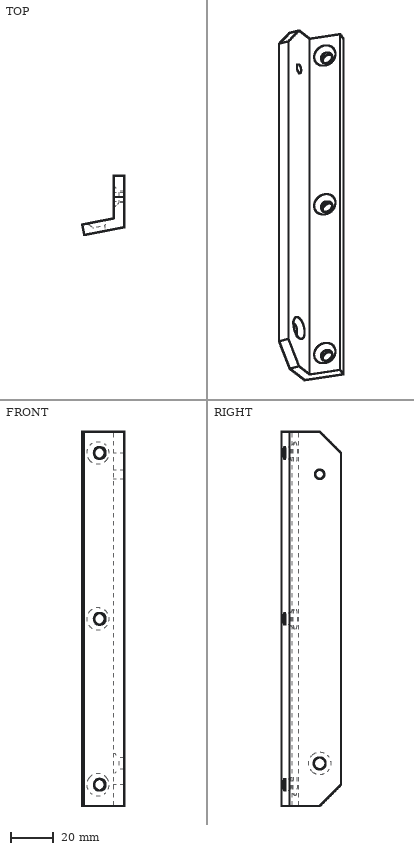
import cadquery as cq
import math

length = 175.0
width = 19.8
depth = 27.8

thickness = 5.0
tilt_degrees = 11.0
tilt = math.radians(tilt_degrees)

corner_chamfer = 10.0
upright_hole_from_edge = 10.0
upright_hole_from_end = 20.0
upper_hole_diameter = 4.2

screw_diameter = 5.5
countersink_diameter = 10.5
countersink_angle = 90.0
drill_depth = 2 * thickness

leg_hole_from_edge = 7.5
leg_hole_from_end = 10.0

leg_length = (width - thickness * math.sin(tilt)) / math.cos(tilt)
upright_length = depth - leg_length * math.sin(tilt)


def leg_point(along, inward):
    """XY point on the tilted leg, measured from the outer corner of the bend."""
    x = -along * math.cos(tilt) - inward * math.sin(tilt)
    y = -along * math.sin(tilt) + inward * math.cos(tilt)
    return x, y


def countersunk_hole(solid, plane):
    """Drill a countersunk through hole at the origin of a plane lying on the leg's inner face."""
    workplane = solid.copyWorkplane(cq.Workplane(plane)).pushPoints([(0, 0)])
    return workplane.cskHole(screw_diameter, countersink_diameter, countersink_angle, depth=drill_depth)


inner_corner_y = thickness / math.cos(tilt) - thickness * math.tan(tilt)
body = (
    cq.Workplane("XY")
    .polyline([
        (0, 0),
        (0, upright_length),
        (-thickness, upright_length),
        (-thickness, inner_corner_y),
        leg_point(leg_length, thickness),
        leg_point(leg_length, 0),
    ])
    .close()
    .extrude(length)
)

body = body.faces(">Y").edges("|X").chamfer(corner_chamfer)

upright_hole_y = upright_length - upright_hole_from_edge


def upright_plane(z):
    return cq.Plane((-thickness, upright_hole_y, z), xDir=(0, 1, 0), normal=(-1, 0, 0))


upper_plane = upright_plane(length - upright_hole_from_end)
upper_hole = cq.Workplane(upper_plane).circle(upper_hole_diameter / 2).extrude(-thickness)
body = body.cut(upper_hole)
body = countersunk_hole(body, upright_plane(upright_hole_from_end))

leg_x, leg_y = leg_point(leg_length - leg_hole_from_edge, thickness)
leg_normal = (-math.sin(tilt), math.cos(tilt), 0)
for z in (leg_hole_from_end, length / 2, length - leg_hole_from_end):
    leg_plane = cq.Plane((leg_x, leg_y, z), xDir=(0, 0, 1), normal=leg_normal)
    body = countersunk_hole(body, leg_plane)

result = body